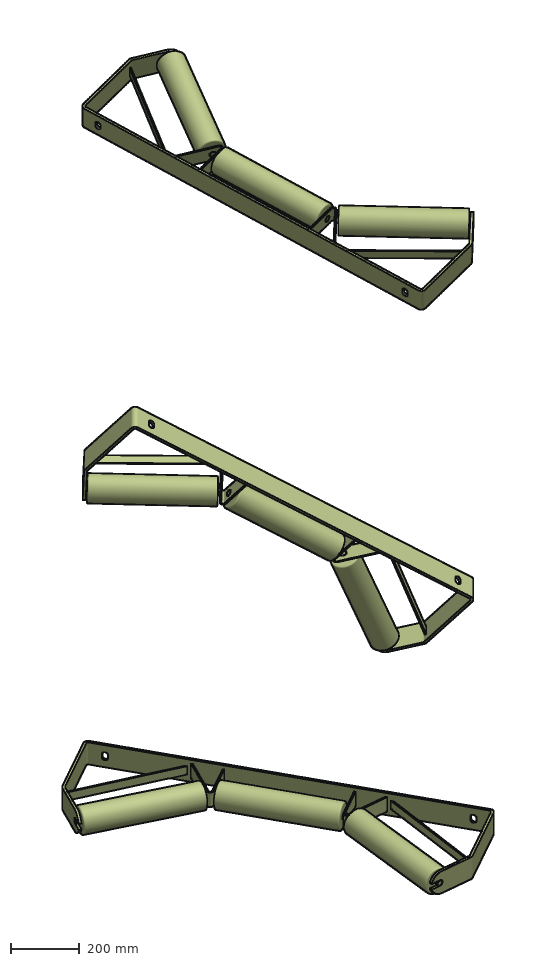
import cadquery as cq
import math


FRAME_LENGTH = 1240.0
FRAME_WIDTH = 79.0
FRAME_THICKNESS = 9.0
FRAME_BEND_RADIUS = 10.0
ARM_BEND_Y = 239.0
ARM_LENGTH = 151.0
TROUGH_ANGLE = math.radians(35)

MOUNT_SLOT_LENGTH = 29.0
MOUNT_SLOT_WIDTH = 19.0
MOUNT_SLOT_X = 557.0

ROLLER_LENGTH = 380.0
ROLLER_RADIUS = 45.0
ROLLER_EDGE_RADIUS = 5.0
SHAFT_RADIUS = 9.0
BORE_RADIUS = 10.0
BRACKET_GAP = 6.0
ARM_GAP = 4.0
MIDDLE_ROLLER_Y = 100.0
SIDE_ROLLER_ON_ARM = 119.0

BRACKET_THICKNESS = 5.0
BRACKET_WIDTH = 52.0
BRACKET_BEND_RADIUS = 7.0
BRACE_THICKNESS = 5.0
BRACE_WIDTH = 30.0
BRACE_TOP_Y = 233.0
BRACE_FOOT_X = 308.0

UP_ARM = cq.Vector(math.sin(TROUGH_ANGLE), math.cos(TROUGH_ANGLE))
DOWN_ROLLER = cq.Vector(math.cos(TROUGH_ANGLE), -math.sin(TROUGH_ANGLE))
ARM_BEND = cq.Vector(-(FRAME_LENGTH - FRAME_THICKNESS) / 2, ARM_BEND_Y)
ARM_TIP = ARM_BEND + UP_ARM * ARM_LENGTH
ARM_TIP_RADIUS = FRAME_WIDTH / 2
SIDE_ROLLER_CENTER = (
    ARM_BEND
    + UP_ARM * SIDE_ROLLER_ON_ARM
    + DOWN_ROLLER * (FRAME_THICKNESS / 2 + ARM_GAP + ROLLER_LENGTH / 2)
)
MIDDLE_ROLLER_CENTER = cq.Vector(0, MIDDLE_ROLLER_Y)
INNER_SHAFT_REACH = ROLLER_LENGTH / 2 + BRACKET_GAP + BRACKET_THICKNESS
OUTER_SHAFT_REACH = ROLLER_LENGTH / 2 + ARM_GAP + FRAME_THICKNESS


def mirrored(shape):
    return shape.mirror("YZ")


def plane_across(origin, direction):
    """Plane through origin, facing along direction, with local X along Z."""
    return cq.Plane(origin=origin, xDir=(0, 0, 1), normal=direction)


def bent_strip(corners, bend_radius, thickness, width):
    """Flat bar on edge that follows the corners at mid thickness, with rounded bends."""
    path = cq.Wire.makePolygon(corners)
    path = path.fillet(bend_radius, path.Vertices()[1:-1])
    section = cq.Workplane(plane_across(corners[0], corners[1] - corners[0])).rect(width, thickness)
    return section.sweep(cq.Workplane(path))


def rod(center, direction, radius, start, end):
    """Cylinder along direction, between two distances from center."""
    return (
        cq.Workplane(plane_across(center + direction * start, direction))
        .circle(radius)
        .extrude(end - start)
    )


def arm_tip_cutter():
    """What is taken off the left arm: the corners beside its round tip, and the shaft slot."""
    depth = 2 * FRAME_THICKNESS
    tip_plane = cq.Plane(
        origin=ARM_TIP - DOWN_ROLLER * (depth / 2), xDir=UP_ARM, normal=DOWN_ROLLER
    )
    corners = (
        cq.Workplane(tip_plane)
        .moveTo(0, -ARM_TIP_RADIUS)
        .lineTo(-ARM_TIP_RADIUS, -ARM_TIP_RADIUS)
        .threePointArc((0, 0), (-ARM_TIP_RADIUS, ARM_TIP_RADIUS))
        .lineTo(0, ARM_TIP_RADIUS)
        .close()
        .extrude(depth)
    )
    slot_depth = ARM_LENGTH - SIDE_ROLLER_ON_ARM
    slot = (
        cq.Workplane(tip_plane)
        .center(-slot_depth / 2, 0)
        .rect(slot_depth, 2 * BORE_RADIUS)
        .extrude(depth)
    )
    seat = rod(SIDE_ROLLER_CENTER, DOWN_ROLLER, BORE_RADIUS, -OUTER_SHAFT_REACH, 0)
    return corners.union(slot).union(seat)


def make_frame():
    base_corner = cq.Vector(ARM_BEND.x, FRAME_THICKNESS / 2)
    left = [ARM_TIP, ARM_BEND, base_corner]
    right = [cq.Vector(-p.x, p.y) for p in reversed(left)]
    frame = bent_strip(left + right, FRAME_BEND_RADIUS, FRAME_THICKNESS, FRAME_WIDTH)
    mount_slots = (
        cq.Workplane("XZ")
        .pushPoints([(-MOUNT_SLOT_X, 0), (MOUNT_SLOT_X, 0)])
        .slot2D(MOUNT_SLOT_LENGTH, MOUNT_SLOT_WIDTH, 90)
        .extrude(-FRAME_THICKNESS)
    )
    tip_cutter = arm_tip_cutter()
    return frame.cut(mount_slots).cut(tip_cutter).cut(mirrored(tip_cutter))


def make_roller(center, direction, reach_back, reach_ahead):
    """Roller with rounded rims and a shaft that reaches past it at both ends."""
    start = center - direction * (ROLLER_LENGTH / 2)
    shell = (
        cq.Workplane(plane_across(start, direction))
        .circle(ROLLER_RADIUS)
        .extrude(ROLLER_LENGTH)
        .edges("%CIRCLE")
        .fillet(ROLLER_EDGE_RADIUS)
    )
    return shell.union(rod(center, direction, SHAFT_RADIUS, -reach_back, reach_ahead))


def make_bracket():
    """Left bracket: an upright leg for the middle roller and an inclined leg for the side roller."""
    mid_reach = ROLLER_LENGTH / 2 + BRACKET_GAP + BRACKET_THICKNESS / 2
    on_inclined_leg = SIDE_ROLLER_CENTER + DOWN_ROLLER * mid_reach

    def point_at_y(y):
        return on_inclined_leg + UP_ARM * ((y - on_inclined_leg.y) / UP_ARM.y)

    apex = on_inclined_leg + UP_ARM * ((-mid_reach - on_inclined_leg.x) / UP_ARM.x)
    upright_foot = cq.Vector(-mid_reach, FRAME_THICKNESS)
    strip = bent_strip(
        [point_at_y(0), apex, upright_foot], BRACKET_BEND_RADIUS, BRACKET_THICKNESS, BRACKET_WIDTH
    )
    base = cq.Workplane().box(FRAME_LENGTH, 2 * FRAME_THICKNESS, FRAME_WIDTH)
    middle_bore = rod(MIDDLE_ROLLER_CENTER, cq.Vector(-1, 0), BORE_RADIUS, 0, INNER_SHAFT_REACH)
    side_bore = rod(SIDE_ROLLER_CENTER, DOWN_ROLLER, BORE_RADIUS, 0, INNER_SHAFT_REACH)
    return strip.cut(base).cut(middle_bore).cut(side_bore)


def make_brace():
    """Left brace: a straight strip from the upright down to the base."""
    top_x = -FRAME_LENGTH / 2 + FRAME_THICKNESS
    slope = math.atan2(BRACE_TOP_Y - FRAME_THICKNESS, -BRACE_FOOT_X - top_x)
    return (
        cq.Workplane("XY")
        .polyline(
            [
                (top_x, BRACE_TOP_Y),
                (top_x, BRACE_TOP_Y - BRACE_THICKNESS / math.cos(slope)),
                (-BRACE_FOOT_X - BRACE_THICKNESS / math.sin(slope), FRAME_THICKNESS),
                (-BRACE_FOOT_X, FRAME_THICKNESS),
            ]
        )
        .close()
        .extrude(BRACE_WIDTH / 2, both=True)
    )


frame = make_frame()
middle_roller = make_roller(MIDDLE_ROLLER_CENTER, cq.Vector(1, 0), INNER_SHAFT_REACH, INNER_SHAFT_REACH)

side_parts = [
    make_roller(SIDE_ROLLER_CENTER, DOWN_ROLLER, OUTER_SHAFT_REACH, INNER_SHAFT_REACH),
    make_bracket(),
    make_brace(),
]
bodies = [frame.solids().val(), middle_roller.solids().val()]
for part in side_parts:
    bodies.append(part.solids().val())
    bodies.append(mirrored(part).solids().val())

result = cq.Compound.makeCompound(bodies)